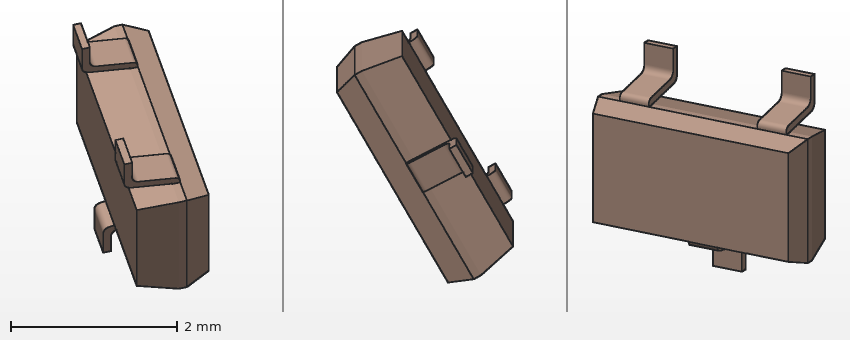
import cadquery as cq
import math

BODY_WIDTH = 2.9
BODY_HEIGHT = 1.6
TAPER_INSET = 0.1
BODY_FRONT_Y = 0.1
BAND_FRONT_Y = 0.597
BAND_BACK_Y = 0.7
BODY_BACK_Y = 1.0

OVERALL_HEIGHT = 2.7
LEAD_WIDTH = 0.4
LEAD_THICKNESS = 0.1
LEAD_PITCH = 1.9
LEAD_SLOPE = 9.5
LEAD_EMBED = 0.058
ROOT_GAP = 0.005
FOOT_BEND_RADIUS = 0.1
ROOT_BEND_RADIUS = 0.075


def tapered_block(band_y, face_y):
    """Solid between the full-size band outline and the inset end face."""
    inset = 2 * TAPER_INSET
    plane = cq.Plane(origin=(0, band_y, 0), xDir=(1, 0, 0), normal=(0, -1, 0))
    return (
        cq.Workplane(plane)
        .rect(BODY_WIDTH, BODY_HEIGHT)
        .workplane(offset=band_y - face_y)
        .rect(BODY_WIDTH - inset, BODY_HEIGHT - inset)
        .loft(ruled=True)
    )


def make_body():
    band_depth = BAND_BACK_Y - BAND_FRONT_Y
    band = cq.Workplane("XY").box(BODY_WIDTH, band_depth, BODY_HEIGHT)
    band = band.translate((0, (BAND_FRONT_Y + BAND_BACK_Y) / 2, 0))
    front = tapered_block(BAND_FRONT_Y, BODY_FRONT_Y)
    back = tapered_block(BAND_BACK_Y, BODY_BACK_Y)
    return band.union(front).union(back)


def make_upper_lead(center_x):
    """Lead leaving the top edge: root bend, sloped arm, foot bend, foot."""
    slope = math.radians(LEAD_SLOPE)
    edge_z = BODY_HEIGHT / 2
    root_z = edge_z - LEAD_EMBED
    foot_z = OVERALL_HEIGHT / 2

    def arm_lower_z(y):
        return edge_z + ROOT_GAP + (BAND_FRONT_Y - y) * math.tan(slope)

    def arm_upper_z(y):
        return arm_lower_z(y) + LEAD_THICKNESS / math.cos(slope)

    root_corner = (BAND_BACK_Y, arm_upper_z(BAND_BACK_Y))
    heel_corner = (0, arm_lower_z(0))
    instep_corner = (LEAD_THICKNESS, arm_upper_z(LEAD_THICKNESS))
    profile = [
        (BAND_FRONT_Y, root_z),
        (BAND_FRONT_Y, arm_lower_z(BAND_FRONT_Y)),
        heel_corner,
        (0, foot_z),
        (LEAD_THICKNESS, foot_z),
        instep_corner,
        root_corner,
        (BAND_BACK_Y, root_z),
    ]
    lead = cq.Workplane("YZ").polyline(profile).close().extrude(LEAD_WIDTH / 2, both=True)

    def round_corner(solid, corner, radius):
        point = (0, corner[0], corner[1])
        return solid.edges(cq.NearestToPointSelector(point)).fillet(radius)

    lead = round_corner(lead, heel_corner, FOOT_BEND_RADIUS)
    lead = round_corner(lead, instep_corner, FOOT_BEND_RADIUS)
    lead = round_corner(lead, root_corner, ROOT_BEND_RADIUS)
    return lead.translate((center_x, 0, 0))


result = make_body()
for side in (-1, 1):
    result = result.union(make_upper_lead(side * LEAD_PITCH / 2))

result = result.union(make_upper_lead(0).mirror("XY"))